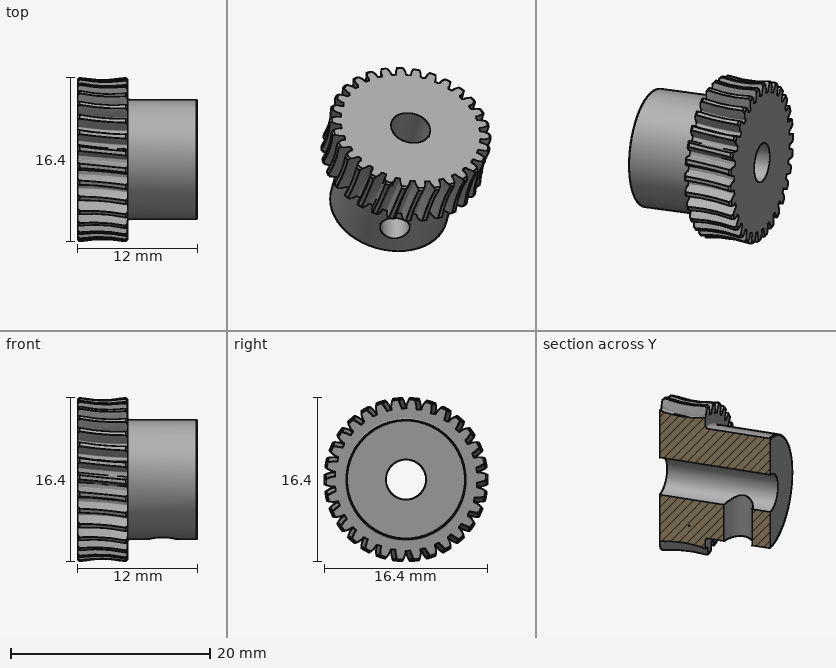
import cadquery as cq
import math

module = 0.5
tooth_count = 30
pressure_angle = math.radians(20)
lead_angle = math.radians(5.19)
face_width = 5.0
throat_arc_radius = 12.6
end_chamfer = 0.2

clearance = 0.25 * module
root_fillet = clearance
tip_bevel = 0.05

total_length = 12.0
hub_radius = 6.0
bore_radius = 2.0
hub_end_chamfer = 0.1
hub_root_fillet = 0.2
screw_hole_radius = 1.5

diagonal = math.sqrt(0.5)

pitch_radius = module * tooth_count / 2
base_radius = pitch_radius * math.cos(pressure_angle)
root_radius = pitch_radius - module - clearance
throat_radius = pitch_radius + module
tooth_pitch_degrees = 360 / tooth_count
mid_face = face_width / 2
twist_per_mm = math.tan(lead_angle) / pitch_radius

axial_overrun = 0.1
radial_overrun = 0.1
section_count = 3


def throat_rise(x):
    """Radial rise of the concave tooth form at x above its middle."""
    offset = x - mid_face
    return throat_arc_radius - math.sqrt(throat_arc_radius**2 - offset**2)


def involute(angle):
    return math.tan(angle) - angle


def half_gap_width(radius):
    """Half the width of a tooth gap between involute flanks, radial below the base circle."""
    flank_angle = math.acos(min(1.0, base_radius / radius))
    pitch_half_angle = math.pi / (2 * tooth_count)
    half_angle = pitch_half_angle - involute(pressure_angle) + involute(flank_angle)
    return radius * math.sin(half_angle)


def gear_blank():
    """Gear disc with a concave rim and chamfered ends, made by turning about X."""
    edge_x = end_chamfer
    edge_radius = throat_radius + throat_rise(edge_x)
    face_radius = edge_radius - end_chamfer
    return (
        cq.Workplane("XY")
        .lineTo(0, face_radius)
        .lineTo(edge_x, edge_radius)
        .threePointArc((mid_face, throat_radius), (face_width - edge_x, edge_radius))
        .lineTo(face_width, face_radius)
        .lineTo(face_width, 0)
        .close()
        .revolve(360, (0, 0, 0), (1, 0, 0))
    )


def gap_section(x):
    """Closed outline of one tooth gap at x, turned by the helix."""
    rise = throat_rise(x)
    turn = tooth_pitch_degrees / 2 + math.degrees(twist_per_mm * (x - mid_face))

    fillet_top = root_radius + root_fillet
    fillet_mid = root_radius + root_fillet * (1 - diagonal)
    bevel_start = throat_radius - tip_bevel
    opening = throat_radius + radial_overrun
    root_half_width = half_gap_width(root_radius) - root_fillet
    fillet_half_width = root_half_width + root_fillet * diagonal
    opening_half_width = half_gap_width(bevel_start) + opening - bevel_start

    def point(radius, across):
        return cq.Vector(radius + rise, across, 0)

    def side(sign):
        """Root fillet, flank and 45 degree tip bevel on one side of the gap."""
        flank_radii = [fillet_top, base_radius, pitch_radius, bevel_start]
        flank = [point(r, sign * half_gap_width(r)) for r in flank_radii]
        root_end = point(root_radius, sign * root_half_width)
        fillet_point = point(fillet_mid, sign * fillet_half_width)
        return [
            cq.Edge.makeThreePointArc(root_end, fillet_point, flank[0]),
            cq.Edge.makeSpline(flank),
            cq.Edge.makeLine(flank[-1], point(opening, sign * opening_half_width)),
        ]

    root = cq.Edge.makeLine(point(root_radius, -root_half_width), point(root_radius, root_half_width))
    mouth = cq.Edge.makeLine(point(opening, opening_half_width), point(opening, -opening_half_width))
    edges = [root, *side(1), mouth, *reversed(side(-1))]
    outline = cq.Wire.assembleEdges(edges).rotate(cq.Vector(), cq.Vector(0, 0, 1), turn)
    plane = cq.Plane(origin=(x, 0, 0), xDir=(0, 1, 0), normal=(1, 0, 0))
    return outline.moved(cq.Location(plane))


def gap_cutters():
    """All tooth gaps, copied around the X axis from one lofted gap."""
    step = (face_width + 2 * axial_overrun) / (section_count - 1)
    sections = [gap_section(-axial_overrun + i * step) for i in range(section_count)]
    gap = cq.Solid.makeLoft(sections)
    axis_end = cq.Vector(1, 0, 0)
    return [gap.rotate(cq.Vector(), axis_end, i * tooth_pitch_degrees) for i in range(tooth_count)]


def hub():
    """Turned hub with a chamfered free end and a concave fillet against the gear face."""
    fillet_end_x = face_width + hub_root_fillet
    fillet_mid = hub_root_fillet * (1 - diagonal)
    return (
        cq.Workplane("XY")
        .moveTo(mid_face, 0)
        .lineTo(mid_face, hub_radius + hub_root_fillet)
        .lineTo(face_width, hub_radius + hub_root_fillet)
        .threePointArc((face_width + fillet_mid, hub_radius + fillet_mid), (fillet_end_x, hub_radius))
        .lineTo(total_length - hub_end_chamfer, hub_radius)
        .lineTo(total_length, hub_radius - hub_end_chamfer)
        .lineTo(total_length, 0)
        .close()
        .revolve(360, (0, 0, 0), (1, 0, 0))
    )


def bore():
    return cq.Workplane("YZ").circle(bore_radius).extrude(total_length)


def screw_hole():
    """Radial hole from the -Z side of the hub into the bore."""
    hub_middle = (face_width + total_length) / 2
    return cq.Workplane("XY").center(hub_middle, 0).circle(screw_hole_radius).extrude(-hub_radius)


blank = gear_blank().union(hub()).cut(bore()).cut(screw_hole())
toothed = blank.val().cut(*gap_cutters())
result = cq.Workplane(toothed.Solids()[0])